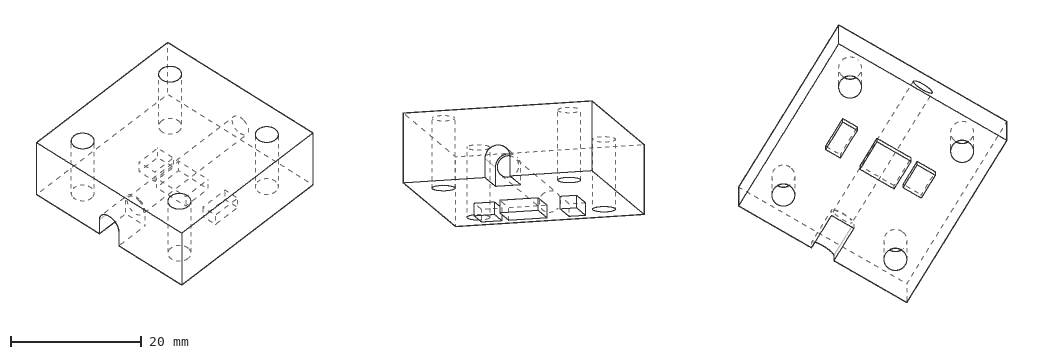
import cadquery as cq

side = 30.0
total_height = 13.0
pad_height = 1.98
block_height = total_height - pad_height

screw_diameter = 3.5
screw_spacing = 19.98

bore_diameter = 3.4
bore_height = 3.0
slot_width = 4.0
slot_depth = 6.0

pad_back = 5.1
pads = [
    (-8.13, -4.9, 0.87),
    (-3.8, 2.28, 0.0),
    (5.8, 8.4, 0.0),
]


def make_block():
    block = cq.Workplane("XY").box(side, side, block_height, centered=(True, True, False))
    return (
        block.faces(">Z")
        .workplane()
        .rect(screw_spacing, screw_spacing, forConstruction=True)
        .vertices()
        .hole(screw_diameter)
    )


def make_bore():
    return (
        cq.Workplane("XZ", origin=(0, -side / 2, bore_height))
        .circle(bore_diameter / 2)
        .extrude(-side)
    )


def make_slot():
    """Round-topped slot, open through the underside and the -Y side."""
    radius = slot_width / 2
    return (
        cq.Workplane("XZ", origin=(0, -side / 2, 0))
        .moveTo(-radius, 0)
        .lineTo(-radius, bore_height)
        .threePointArc((0, bore_height + radius), (radius, bore_height))
        .lineTo(radius, 0)
        .close()
        .extrude(-slot_depth)
    )


def make_pad(left, right, front):
    return (
        cq.Workplane("XY", origin=(left, front, -pad_height))
        .box(right - left, pad_back - front, pad_height, centered=False)
    )


result = make_block().cut(make_bore()).cut(make_slot())
for left, right, front in pads:
    result = result.union(make_pad(left, right, front))